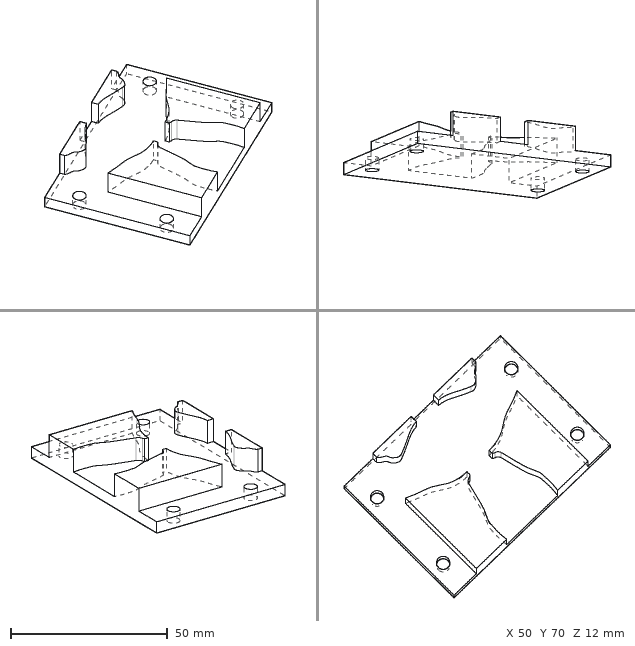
import cadquery as cq

plate_length = 50.0
plate_width = 70.0
plate_thickness = 4.0
total_height = 12.0
block_height = total_height - plate_thickness

hole_diameter = 4.3
hole_spacing_x = 30.0
hole_spacing_y = 60.05

channel_half_width = 5.0
large_block_outer_y = 25.0
large_block_corner_x = 17.7
tip_start_x = 25.35
tip_end_x = 26.8
mouth_half_width = 11.6
mouth_end_half_width = 11.4
small_block_outer_y = 22.2
small_block_outer_x = 1.6
small_block_inner_x = 2.4

small_block_flank = [(2.6, 6.6), (3.9, 10.1), (5.5, 13.3), (6.45, 15.55)]
small_block_nose = [
    (6.65, 16.9),
    (5.8, 18.35),
    (4.7, 19.25),
    (4.0, 19.5),
    (2.7, 21.3),
    (small_block_outer_x, small_block_outer_y),
]

large_block_flank = [
    (19.95, 19.25),
    (20.85, 16.8),
    (23.95, 11.7),
    (25.05, 8.2),
    (tip_start_x, channel_half_width),
]
tip_fillet_start = (27.15, 5.75)
tip_fillet_middle = (27.5, 6.5)
tip_fillet_end = (28.55, 7.2)
channel_wall = [
    (34.0, 8.6),
    (38.5, 9.95),
    (42.3, 11.5),
    (43.75, mouth_half_width),
    (48.3, mouth_half_width),
    (plate_length, mouth_end_half_width),
]


def make_plate():
    """Rectangular plate with four through holes."""
    return (
        cq.Workplane("XY")
        .box(plate_length, plate_width, plate_thickness, centered=(False, True, False))
        .faces(">Z")
        .workplane(centerOption="CenterOfBoundBox")
        .rect(hole_spacing_x, hole_spacing_y, forConstruction=True)
        .vertices()
        .hole(hole_diameter)
    )


def block_plane():
    """Top of the plate, where every block starts."""
    return cq.Workplane("XY").workplane(offset=plate_thickness)


def make_small_block():
    """Block on the left edge, with a rounded nose and a tapering flank."""
    return (
        block_plane()
        .moveTo(0, channel_half_width)
        .lineTo(small_block_inner_x, channel_half_width)
        .spline(small_block_flank, includeCurrent=True)
        .spline(small_block_nose, includeCurrent=True)
        .lineTo(0, small_block_outer_y)
        .close()
        .extrude(block_height)
    )


def make_large_block():
    """Block on the right edge, narrowing to a blunt tip at the channel."""
    return (
        block_plane()
        .moveTo(plate_length, large_block_outer_y)
        .lineTo(large_block_corner_x, large_block_outer_y)
        .spline(large_block_flank, includeCurrent=True)
        .lineTo(tip_end_x, channel_half_width)
        .lineTo(*tip_fillet_start)
        .threePointArc(tip_fillet_middle, tip_fillet_end)
        .spline(channel_wall, includeCurrent=True)
        .close()
        .extrude(block_height)
    )


result = make_plate()
for block in (make_small_block(), make_large_block()):
    result = result.union(block).union(block.mirror("XZ"))